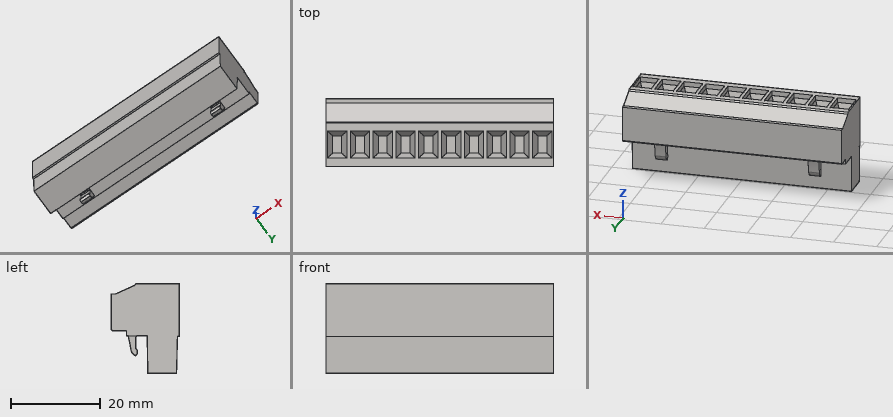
import cadquery as cq


pole_count = 10
pitch = 5.08
length = pole_count * pitch

depth = 15.2
height = 20.0
back_height = 17.75
back_ledge_depth = 1.0
slope_top_height = 19.65
slope_top_y = 10.0
roof_edge_y = 9.7
back_overhang_z = 9.5
overhang_chamfer = 0.3
shelf_z = 8.4
shelf_back_y = 11.8

foot_top_z = 8.25
foot_front_top_y = 0.4
foot_front_bottom_y = 0.6
foot_back_top_y = 7.2
foot_back_bottom_y = 7.05

mouth_width = 4.3
mouth_length = 6.0
mouth_depth = 1.1
mouth_centre_y = 4.95
well_floor_width = 2.0
well_floor_length = 3.8
well_depth = 3.1

hook_width = 2.5
hook_poles = (1, pole_count - 2)
hook_root_back_y = 11.45
hook_root_front_y = 9.45
hook_stem_front_y = 9.67
hook_root_flare = 0.3
hook_nose_start_z = 5.55
hook_nose = (9.35, 5.0)
hook_tip = (9.75, 3.95)
hook_bend = (10.8, 5.15)
hook_bend_middle = (10.37, 4.4)
hook_back_middle = (11.1, 6.9)


def pole_x(index):
    """X position of the middle of one pole."""
    return (index + 0.5) * pitch


def make_body():
    """Side outline extruded along the whole row of poles."""
    outline = (
        cq.Workplane("YZ")
        .moveTo(0, height)
        .lineTo(roof_edge_y, height)
        .lineTo(slope_top_y, slope_top_height)
        .lineTo(depth - back_ledge_depth, back_height)
        .lineTo(depth, back_height)
        .lineTo(depth, back_overhang_z + overhang_chamfer)
        .lineTo(depth - overhang_chamfer, back_overhang_z)
        .lineTo(shelf_back_y, back_overhang_z)
        .lineTo(shelf_back_y, shelf_z)
        .lineTo(foot_back_top_y, shelf_z)
        .lineTo(foot_back_bottom_y, 0)
        .lineTo(foot_front_bottom_y, 0)
        .lineTo(foot_front_top_y, foot_top_z)
        .lineTo(0, foot_top_z)
        .close()
    )
    return outline.extrude(length)


def make_funnel(index):
    """Solid to cut away for one wire entry."""
    mouth_floor_z = height - mouth_depth
    mouth = (
        cq.Workplane("XY", origin=(pole_x(index), mouth_centre_y, mouth_floor_z))
        .rect(mouth_width, mouth_length)
        .extrude(mouth_depth)
    )
    well = (
        cq.Workplane("XY", origin=(pole_x(index), mouth_centre_y, mouth_floor_z))
        .rect(mouth_width, mouth_length)
        .workplane(offset=-well_depth)
        .rect(well_floor_width, well_floor_length)
        .loft(ruled=True)
    )
    return mouth.union(well)


def make_hook(index):
    """Latch hook centred on one pole."""
    return (
        cq.Workplane("YZ", origin=(pole_x(index) - hook_width / 2, 0, 0))
        .moveTo(hook_root_front_y, shelf_z)
        .lineTo(hook_stem_front_y, shelf_z - hook_root_flare)
        .lineTo(hook_stem_front_y, hook_nose_start_z)
        .threePointArc(hook_nose, hook_tip)
        .threePointArc(hook_bend_middle, hook_bend)
        .threePointArc(hook_back_middle, (hook_root_back_y, shelf_z))
        .close()
        .extrude(hook_width)
    )


result = make_body()
for pole in range(pole_count):
    result = result.cut(make_funnel(pole))
for pole in hook_poles:
    result = result.union(make_hook(pole))